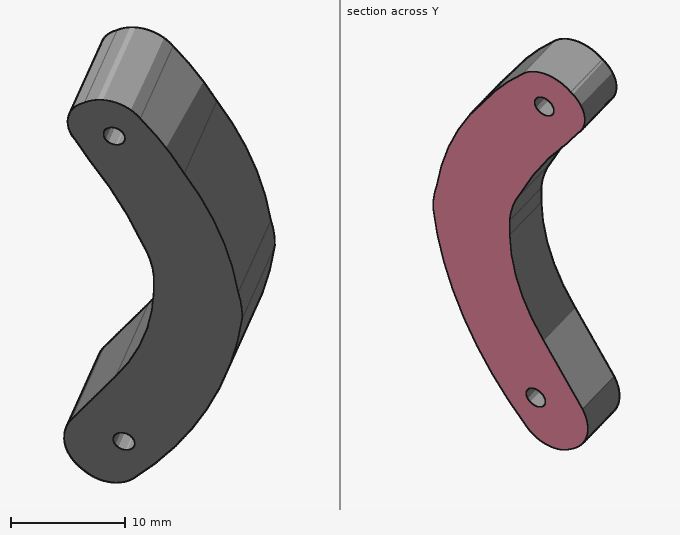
import cadquery as cq

height = 44.45
width = 16.25
thickness = 10.0

top = height / 2
bottom = -height / 2

hole_diameter = 1.95
upper_hole = (-3.55, 18.25)
lower_hole = (-2.65, -17.1)

upper_end_crown = (-4.15, top)
upper_end_corner = (-6.3, 21.45)
lower_end_corner = (-6.3, -21.45)
lower_end_crown = (-4.1, bottom)
upper_end_side = (-7.8, 19.35)
lower_end_side = (-8.1, -18.67)

outer_top = (-1.2, 20.9)
outer_shoulder = (2.8, 15.5)
outer_flank = (7.75, 2.9)
outer_crest = (width / 2, 0)
outer_bottom = (-1.8, -21.2)
outer_lower_mid = (5.45, -10.2)
outer_crest_mid = (8.05, 1.35)
outer_flank_mid = (5.95, 9.65)
outer_upper_mid = (1.0, 18.3)

inner_top = (-7.1, 16.9)
inner_shoulder = (-5.82, 14.85)
inner_bend_start = (-1.02, 6.4)
inner_bend_end = (0.05, 2.8)
inner_crest = (0.05, 1.05)
inner_flank = (-3.45, -9.8)
inner_bottom = (-7.55, -15.9)
inner_upper_mid = (-3.25, 10.95)
inner_bend_mid = (-0.25, 4.55)
inner_lower_mid = (-0.9, -4.6)


def arm_profile():
    """Closed side outline of the curved arm, starting at its outer top."""
    return (
        cq.Workplane("XZ", origin=(0, thickness / 2, 0))
        .moveTo(*outer_top)
        .threePointArc(upper_end_crown, upper_end_corner)
        .threePointArc(upper_end_side, inner_top)
        .lineTo(*inner_shoulder)
        .threePointArc(inner_upper_mid, inner_bend_start)
        .threePointArc(inner_bend_mid, inner_bend_end)
        .lineTo(*inner_crest)
        .threePointArc(inner_lower_mid, inner_flank)
        .lineTo(*inner_bottom)
        .threePointArc(lower_end_side, lower_end_corner)
        .threePointArc(lower_end_crown, outer_bottom)
        .threePointArc(outer_lower_mid, outer_crest)
        .threePointArc(outer_crest_mid, outer_flank)
        .threePointArc(outer_flank_mid, outer_shoulder)
        .threePointArc(outer_upper_mid, outer_top)
        .close()
    )


def pin_holes():
    """Cylinders that cut both pin holes through the full thickness."""
    return (
        cq.Workplane("XZ", origin=(0, thickness / 2, 0))
        .pushPoints([upper_hole, lower_hole])
        .circle(hole_diameter / 2)
        .extrude(thickness)
    )


result = arm_profile().extrude(thickness).cut(pin_holes())